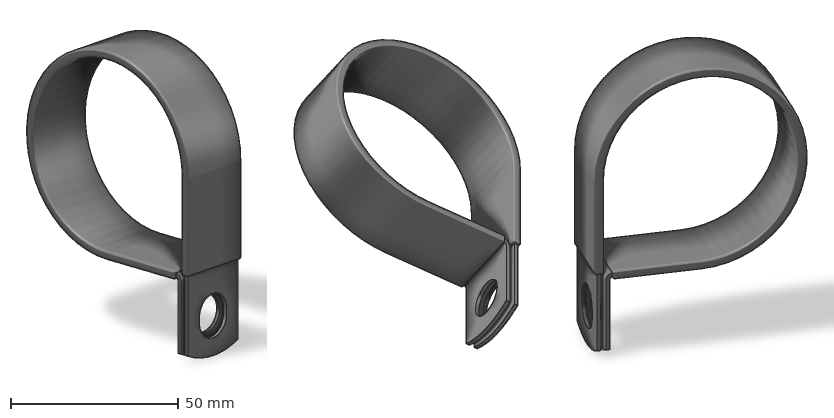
import cadquery as cq
import math


bore_diameter = 60.325
strap_thickness = 1.22
strap_width = 22.225
cushion_cover = 0.794
cushion_edge_radius = 0.762
tab_gap = 2 * cushion_cover
tab_bottom_z = -58.72
tab_end_radius = 25.4
hole_diameter = 11.906
slot_length = 14.0
hole_z = -46.1

cushion_inner_radius = bore_diameter / 2
strap_inner_radius = cushion_inner_radius + cushion_cover
strap_outer_radius = strap_inner_radius + strap_thickness
cushion_outer_radius = strap_outer_radius + cushion_cover
cushion_width = strap_width + 2 * cushion_cover

bent_tab_outer_x = strap_inner_radius - tab_gap
bent_tab_inner_x = bent_tab_outer_x - strap_thickness
bend_inner_radius = strap_thickness
bend_outer_radius = bend_inner_radius + strap_thickness
bend_center_x = bent_tab_inner_x - bend_inner_radius
bend_center_z = -strap_outer_radius - bend_inner_radius

cushion_end_x = bent_tab_inner_x - cushion_cover
cushion_end_z = -cushion_inner_radius - cushion_cover


def extrude_across_width(outline, width):
    """Extrude a closed XZ outline symmetrically about the Y = 0 plane."""
    return outline.close().extrude(width / 2, both=True)


def loop_band(inner_radius, outer_radius, leg_end_x, leg_end_z, width):
    """Three-quarter ring with a horizontal leg along +X and a vertical leg along -Z."""
    inner_mid = inner_radius * math.sqrt(0.5)
    outer_mid = outer_radius * math.sqrt(0.5)
    outline = (
        cq.Workplane("XZ")
        .moveTo(outer_radius, leg_end_z)
        .lineTo(outer_radius, 0)
        .threePointArc((-outer_mid, outer_mid), (0, -outer_radius))
        .lineTo(leg_end_x, -outer_radius)
        .lineTo(leg_end_x, -inner_radius)
        .lineTo(0, -inner_radius)
        .threePointArc((-inner_mid, inner_mid), (inner_radius, 0))
        .lineTo(inner_radius, leg_end_z)
    )
    return extrude_across_width(outline, width)


def make_cushion():
    """Cushion band with every outside edge rounded."""
    band = loop_band(
        cushion_inner_radius, cushion_outer_radius, cushion_end_x, cushion_end_z, cushion_width
    )
    leg_mid = (cushion_inner_radius + cushion_outer_radius) / 2
    side_edges = band.faces("<Y or >Y").edges()
    vertical_leg_end = band.faces(cq.NearestToPointSelector((leg_mid, 0, cushion_end_z)))
    horizontal_leg_end = band.faces(cq.NearestToPointSelector((cushion_end_x, 0, -leg_mid)))
    end_edges = vertical_leg_end.add(horizontal_leg_end).edges("|Y")
    return side_edges.add(end_edges).fillet(cushion_edge_radius)


def make_bent_tab():
    """Quarter bend from the horizontal leg into the hanging tab nearer the loop axis."""
    bend_inner_mid = bend_inner_radius * math.sqrt(0.5)
    bend_outer_mid = bend_outer_radius * math.sqrt(0.5)
    outline = (
        cq.Workplane("XZ")
        .moveTo(bend_center_x, -strap_inner_radius)
        .threePointArc(
            (bend_center_x + bend_outer_mid, bend_center_z + bend_outer_mid),
            (bent_tab_outer_x, bend_center_z),
        )
        .lineTo(bent_tab_outer_x, tab_bottom_z)
        .lineTo(bent_tab_inner_x, tab_bottom_z)
        .lineTo(bent_tab_inner_x, bend_center_z)
        .threePointArc(
            (bend_center_x + bend_inner_mid, bend_center_z + bend_inner_mid),
            (bend_center_x, -strap_outer_radius),
        )
    )
    return extrude_across_width(outline, strap_width)


def make_tab_trim():
    """Tab silhouette with a rounded bottom extruded through both tabs."""
    half_width = strap_width / 2
    corner_rise = tab_end_radius - math.sqrt(tab_end_radius**2 - half_width**2)
    corner_z = tab_bottom_z + corner_rise
    return (
        cq.Workplane("YZ")
        .moveTo(-half_width, cushion_outer_radius)
        .lineTo(-half_width, corner_z)
        .threePointArc((0, tab_bottom_z), (half_width, corner_z))
        .lineTo(half_width, cushion_outer_radius)
        .close()
        .extrude(cushion_outer_radius, both=True)
    )


def make_bolt_hole():
    """Cutter for the round hole in the bent tab."""
    return (
        cq.Workplane("YZ", origin=(bent_tab_inner_x, 0, hole_z))
        .circle(hole_diameter / 2)
        .extrude(strap_thickness)
    )


def make_bolt_slot():
    """Cutter for the Z-lengthened slot in the straight tab, centred on the round hole."""
    return (
        cq.Workplane("YZ", origin=(strap_inner_radius, 0, hole_z))
        .slot2D(slot_length, hole_diameter, angle=90)
        .extrude(strap_thickness)
    )


def make_strap():
    """Metal strap: loop, straight tab and bent tab, each tab trimmed and drilled."""
    loop = loop_band(strap_inner_radius, strap_outer_radius, bend_center_x, tab_bottom_z, strap_width)
    strap = loop.union(make_bent_tab()).intersect(make_tab_trim())
    return strap.cut(make_bolt_hole()).cut(make_bolt_slot())


result = make_cushion().union(make_strap())